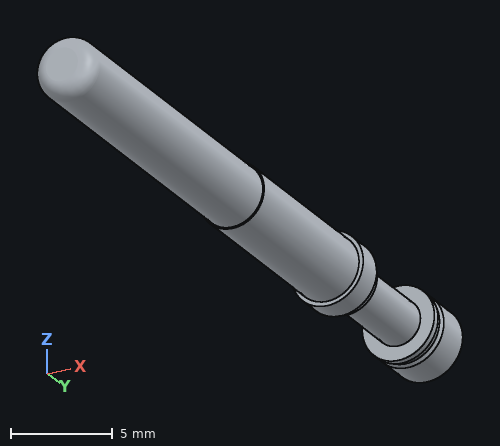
import cadquery as cq

length = 38.5

head_radius = 2.0
cap_length = 2.0
head_length = 3.0
flange_length = 0.4
groove_radius = 1.9
groove_taper_length = 0.25

plunger_radius = 1.25
plunger_length = 5.5

collar_radius = head_radius
collar_length = 2.0
collar_chamfer_length = 0.58
collar_face_radius = 1.75

sleeve_radius = 1.77
sleeve_length = 10.0
barrel_radius = 1.7
tip_fillet = 0.8

cap_front = length - cap_length
head_front = length - head_length
collar_back = head_front - plunger_length
collar_front = collar_back - collar_length
sleeve_front = collar_front - sleeve_length


def cylinder(radius, start, end):
    """Solid cylinder on the Y axis between two stations."""
    return (
        cq.Workplane("XZ", origin=(0, end, 0))
        .circle(radius)
        .extrude(end - start)
    )


def make_head():
    """Head with a groove that tapers down from the cap and ends square at the flange."""
    flange_back = head_front + flange_length
    profile = [
        (0, head_front),
        (head_radius, head_front),
        (head_radius, flange_back),
        (groove_radius, flange_back),
        (groove_radius, cap_front - groove_taper_length),
        (head_radius, cap_front),
        (head_radius, length),
        (0, length),
    ]
    return (
        cq.Workplane("XY")
        .polyline(profile)
        .close()
        .revolve(360, (0, 0, 0), (0, 1, 0))
    )


def make_collar():
    """Collar whose edge towards the head is an asymmetric chamfer."""
    chamfer_depth = collar_radius - collar_face_radius
    return (
        cylinder(collar_radius, collar_front, collar_back)
        .faces(">Y")
        .chamfer(collar_chamfer_length, chamfer_depth)
    )


def make_barrel():
    """Barrel with a rounded tip."""
    return cylinder(barrel_radius, 0, sleeve_front).faces("<Y").edges().fillet(tip_fillet)


plunger = cylinder(plunger_radius, collar_back, head_front)
sleeve = cylinder(sleeve_radius, sleeve_front, collar_front)

result = (
    make_barrel()
    .union(sleeve)
    .union(make_collar())
    .union(plunger)
    .union(make_head())
)